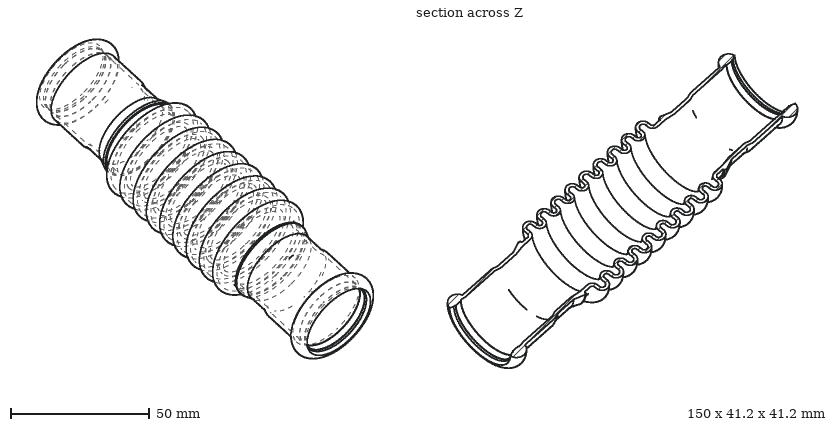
import cadquery as cq
import math

length = 150.0
half_length = length / 2
wall = 1.5

bead_radius = 3.8
bead_outer_diameter = 36.8
mouth_diameter = 30.0
mouth_depth = 1.5
bead_bore_diameter = 28.8
bead_bore_end = 6.6
collar_bore_start = 7.4
seal_diameter = 28.4
seal_start = 2.4
seal_end = 5.1

collar_diameter = 31.4
neck_diameter = 30.0
collar_end = 23.0
neck_start = 25.0
flare_start = 33.5
flare_crest = 37.6
flare_end = 38.5
flare_crest_diameter = 33.2
flare_end_diameter = 32.7

convolution_count = 9
convolution_span = 59.4
convolution_pitch = convolution_span / (convolution_count - 1)
convolution_diameter = 41.2
valley_radius = 0.98
crest_radius = convolution_pitch / 2 - valley_radius
first_crest = -convolution_span / 2


def tube_end_outline():
    """Upper-half outline of one tube end, from its end face to the flare."""
    collar = collar_diameter / 2
    collar_bore = collar - wall
    neck = neck_diameter / 2
    neck_bore = neck - wall
    mouth = mouth_diameter / 2
    bead_bore = bead_bore_diameter / 2
    bead_center_radius = bead_outer_diameter / 2 - bead_radius
    bead_center = math.sqrt(bead_radius**2 - (mouth - bead_center_radius) ** 2)
    bead_foot = bead_center + math.sqrt(bead_radius**2 - (collar - bead_center_radius) ** 2)
    return (
        cq.Workplane("XY")
        .moveTo(0, mouth)
        .threePointArc((bead_center, bead_outer_diameter / 2), (bead_foot, collar))
        .lineTo(collar_end, collar)
        .lineTo(neck_start, neck)
        .lineTo(flare_start, neck)
        .lineTo(flare_crest, flare_crest_diameter / 2)
        .lineTo(flare_end, flare_end_diameter / 2)
        .lineTo(flare_end, collar_bore)
        .lineTo(flare_crest, collar_bore)
        .lineTo(flare_start, neck_bore)
        .lineTo(neck_start, neck_bore)
        .lineTo(collar_end, collar_bore)
        .lineTo(collar_bore_start, collar_bore)
        .lineTo(bead_bore_end, bead_bore)
        .lineTo(seal_end, bead_bore)
        .lineTo(seal_end, seal_diameter / 2)
        .lineTo(seal_start, seal_diameter / 2)
        .lineTo(seal_start, bead_bore)
        .lineTo(mouth_depth, bead_bore)
        .close()
    )


def revolve_about_x(outline):
    return outline.revolve(360, (0, 0, 0), (1, 0, 0))


def make_bellows_body(inset):
    """Solid of revolution under the bellows profile, moved inward by inset."""
    root = collar_diameter / 2 - inset
    top = convolution_diameter / 2 - inset
    crest = crest_radius - inset
    valley = valley_radius + inset
    crest_center = top - crest
    valley_center = root + valley
    valley_slant = valley * math.sqrt(0.5)
    valley_middle = valley_center - valley_slant
    cuff_end = half_length - flare_end

    outline = cq.Workplane("XY").moveTo(-cuff_end, 0).lineTo(-cuff_end, root)
    outline = outline.lineTo(first_crest - convolution_pitch / 2, root)
    for index in range(convolution_count):
        x = first_crest + index * convolution_pitch
        left_valley = x - convolution_pitch / 2
        right_valley = x + convolution_pitch / 2
        outline = (
            outline.threePointArc((left_valley + valley_slant, valley_middle), (x - crest, valley_center))
            .lineTo(x - crest, crest_center)
            .threePointArc((x, top), (x + crest, crest_center))
            .lineTo(x + crest, valley_center)
            .threePointArc((right_valley - valley_slant, valley_middle), (right_valley, root))
        )
    outline = outline.lineTo(cuff_end, root).lineTo(cuff_end, 0).close()
    return revolve_about_x(outline)


left_end = revolve_about_x(tube_end_outline()).translate((-half_length, 0, 0))
right_end = left_end.mirror("YZ")
bellows = make_bellows_body(0).cut(make_bellows_body(wall))

result = bellows.union(left_end).union(right_end)